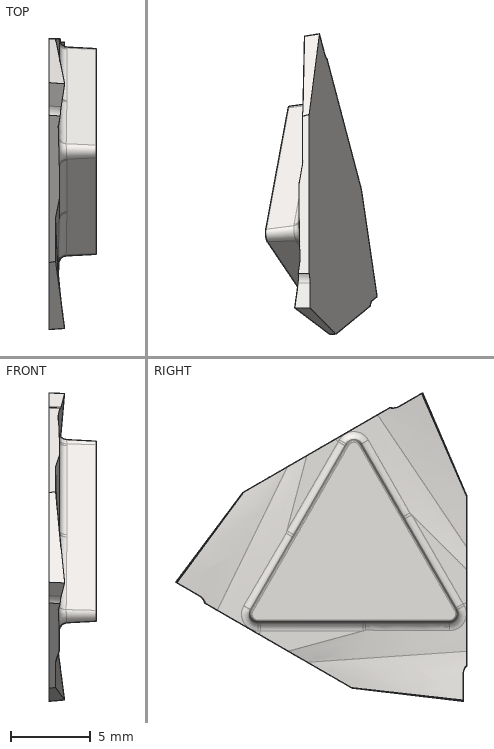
import cadquery as cq
import math

REPEATS = 3
REPEAT_ANGLE = 360 / REPEATS

OVERALL_Y = 18.29
OVERALL_Z = 19.39
TIP_OFFSET = 6.87
TIP_REACH = (OVERALL_Z - TIP_OFFSET * math.sin(math.radians(60))) / (1 + math.cos(math.radians(60)))
EDGE_OFFSET = OVERALL_Y - TIP_OFFSET * math.cos(math.radians(60)) - TIP_REACH * math.sin(math.radians(60))
BLUNT_REACH = 3.97
STEP_REACH = 6.73
STEP_ANGLE = math.radians(45)
STEP_RADIUS = (EDGE_OFFSET - TIP_OFFSET) / (1 - math.cos(STEP_ANGLE))
RELIEF_ANGLE = math.radians(5)

FLOOR = 0.66
TIP_HEIGHT = 1.02
BLUNT_HEIGHT = 0.42
GROOVE_TIP_HEIGHT = 0.59
ENVELOPE_HEIGHT = 1.2
TOTAL_HEIGHT = 3.0

BLUNT_GROOVE = 3.25
BLUNT_RAMP_END = 4.65
TIP_GROOVE = 3.15
TIP_RAMP_END = 6.2
OVERHANG = 0.3

BOSS_INRADIUS = 3.93
BOSS_CORNER = 0.46
BOSS_TAPER = 3.0
BOSS_ROOT_FILLET = 0.5
BOSS_TOP_FILLET = 0.08
CONTACT_TOLERANCE = 1e-4


def turn(point, step):
    """Turn a (u, z) point about the centre by a number of repeats."""
    angle = math.radians(REPEAT_ANGLE * step)
    u, z = point
    return (u * math.cos(angle) - z * math.sin(angle), u * math.sin(angle) + z * math.cos(angle))


def at_height(point, x):
    """Place a (u, z) point in space at height x."""
    u, z = point
    return cq.Vector(x, -u, z)


def polygon(points, x):
    return cq.Wire.makePolygon([at_height(point, x) for point in points], close=True)


def outline(x):
    """Plate outline at height x; the relief slides the tips and steps along the long edges."""
    next_tip = turn((-TIP_OFFSET, -TIP_REACH), -1)
    lean = math.atan2(next_tip[0] + EDGE_OFFSET, next_tip[1] - BLUNT_REACH)
    retreat = x * math.tan(RELIEF_ANGLE)
    tip_slide = retreat / math.sin(math.radians(REPEAT_ANGLE) - lean)
    blunt_slide = retreat / math.sin(lean)

    def step_point(angle):
        along = STEP_RADIUS * (math.sin(STEP_ANGLE) - math.sin(angle))
        return (-TIP_OFFSET - STEP_RADIUS * (1 - math.cos(angle)), tip_slide - STEP_REACH - along)

    tip = (-TIP_OFFSET, tip_slide - TIP_REACH)
    blunt = (-EDGE_OFFSET, BLUNT_REACH - blunt_slide)
    side = [tip, step_point(0), step_point(STEP_ANGLE / 2), step_point(STEP_ANGLE), blunt, turn(tip, -1)]
    edges = []
    for step in range(REPEATS):
        start, arc_start, arc_middle, arc_end, bend, end = [at_height(turn(p, -step), x) for p in side]
        edges.append(cq.Edge.makeLine(start, arc_start))
        edges.append(cq.Edge.makeThreePointArc(arc_start, arc_middle, arc_end))
        edges.append(cq.Edge.makeLine(arc_end, bend))
        edges.append(cq.Edge.makeLine(bend, end))
    return cq.Wire.assembleEdges(edges)


def from_blunt_end(distance):
    """Point on the long edge that leads to the blunt end of a short edge."""
    return (-EDGE_OFFSET, BLUNT_REACH - distance)


def from_tip(distance):
    """Point on the long edge that starts at the tip of the same short edge."""
    return turn((-EDGE_OFFSET, distance - TIP_REACH), -1)


def groove_corner():
    """Solid below one chip groove, ruled between its profiles on the two long edges."""
    tip_slope = (TIP_HEIGHT - GROOVE_TIP_HEIGHT) / TIP_GROOVE
    blunt_profile = [
        (-OVERHANG, 0),
        (-OVERHANG, BLUNT_HEIGHT),
        (BLUNT_GROOVE, BLUNT_HEIGHT),
        (BLUNT_RAMP_END, FLOOR),
        (BLUNT_RAMP_END, 0),
    ]
    tip_profile = [
        (-OVERHANG, 0),
        (-OVERHANG, TIP_HEIGHT + OVERHANG * tip_slope),
        (TIP_GROOVE, GROOVE_TIP_HEIGHT),
        (TIP_RAMP_END, FLOOR),
        (TIP_RAMP_END, 0),
    ]
    blunt_wire = cq.Wire.makePolygon([at_height(from_blunt_end(d), x) for d, x in blunt_profile], close=True)
    tip_wire = cq.Wire.makePolygon([at_height(from_tip(d), x) for d, x in tip_profile], close=True)
    return cq.Workplane(cq.Solid.makeLoft([blunt_wire, tip_wire], True))


def plate():
    """Flat floor plus the three groove corners, trimmed to the relieved outline."""
    floor_points = []
    for step in range(REPEATS):
        floor_points.append(turn(from_tip(TIP_RAMP_END), 1 - step))
        floor_points.append(turn(from_blunt_end(BLUNT_RAMP_END), -step))
    floor = cq.Solid.extrudeLinear(polygon(floor_points, 0), [], cq.Vector(FLOOR, 0, 0))
    body = cq.Workplane(floor)
    corner = groove_corner()
    for step in range(REPEATS):
        body = body.union(corner.rotate((0, 0, 0), (1, 0, 0), REPEAT_ANGLE * step))
    envelope = cq.Solid.makeLoft([outline(0), outline(ENVELOPE_HEIGHT)], True)
    return body.intersect(cq.Workplane(envelope))


def boss():
    """Boss from the back face to the top, narrowing upwards, with its top rim rounded."""
    corner_radius = 2 * (BOSS_INRADIUS - BOSS_CORNER)
    foot_growth = TOTAL_HEIGHT * math.tan(math.radians(BOSS_TAPER))
    return (
        cq.Workplane("YZ")
        .polyline([turn((0, corner_radius), step) for step in range(REPEATS)])
        .close()
        .offset2D(BOSS_CORNER + foot_growth)
        .extrude(TOTAL_HEIGHT, taper=BOSS_TAPER)
        .faces(">X")
        .edges()
        .fillet(BOSS_TOP_FILLET)
    )


def is_boss_root(edge, boss_solid):
    """True for an edge where the boss meets the top of the plate."""
    bounds = edge.BoundingBox()
    if bounds.xmin < BLUNT_HEIGHT or bounds.xmax > TIP_HEIGHT:
        return False
    middle = cq.Vertex.makeVertex(*edge.positionAt(0.5).toTuple())
    end = cq.Vertex.makeVertex(*edge.endPoint().toTuple())
    start = cq.Vertex.makeVertex(*edge.startPoint().toTuple())
    return all(boss_solid.distance(point) < CONTACT_TOLERANCE for point in (start, middle, end))


def insert():
    boss_body = boss()
    body = plate().union(boss_body)
    root = [edge for edge in body.edges().vals() if is_boss_root(edge, boss_body.val())]
    return body.newObject(root).fillet(BOSS_ROOT_FILLET)


result = insert()